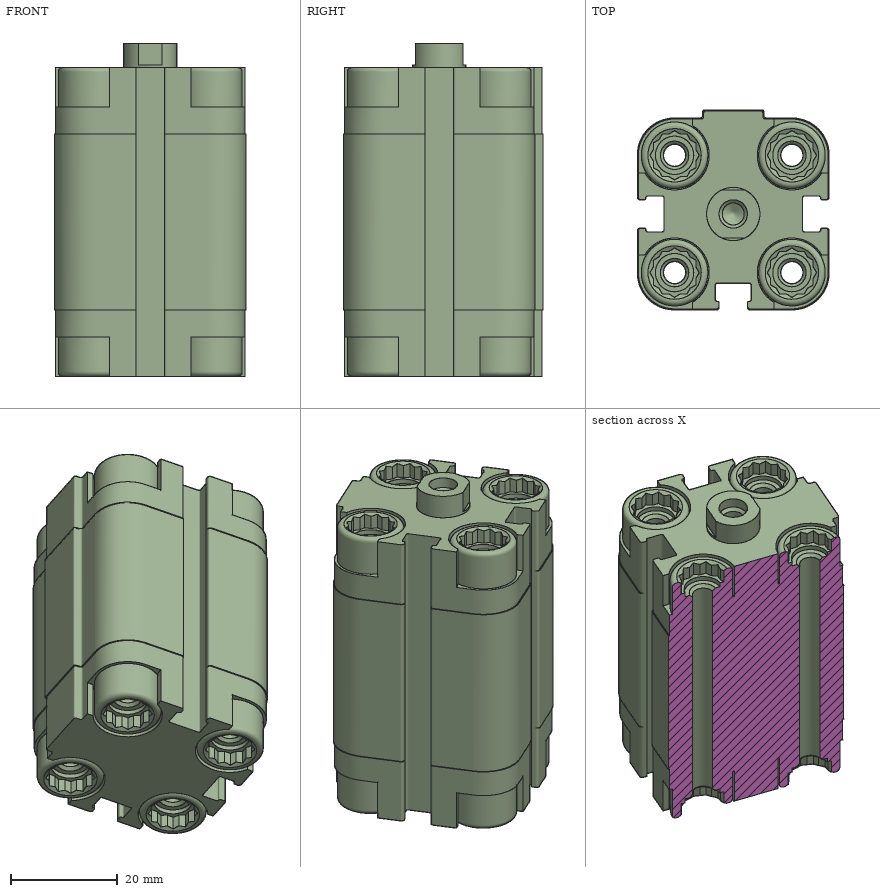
import cadquery as cq
import math

body_height = 58.0
body_width = 36.0
half_width = body_width / 2
cap_length = 12.5
cap_inset = 0.2
screw_offset = 11.0
corner_radius = half_width - screw_offset
overshoot = 0.6

ridge_top = 19.5
ridge_width = 11.5
ridge_top_fillet = 0.4
ridge_root_fillet = 0.5

slot_floor = 13.0
slot_ledge = 16.4
slot_width = 6.7
slot_opening = 5.3
lip_fillet = 0.5
slot_fillet = 0.3

recess_depth = 7.45
recess_diameter = 13.0
recess_wall = 7.7
head_diameter = 12.5
head_fillet = 0.9

screw_bore = 4.1
socket_rim = 10.0
socket_rim_slope = 30.0
socket_flats = 8.0
socket_depth = 3.05
counterbore_diameter = 7.2
counterbore_depth = 4.0
countersink_diameter = 5.3
countersink_depth = counterbore_depth + (countersink_diameter - screw_bore) / 2

rod_diameter = 10.0
rod_top = 62.5
rod_bottom = body_height - cap_length
rod_flats = 9.0
rod_collar = 0.45
rod_entry_diameter = 5.3
rod_entry_depth = 2.0
rod_bore_diameter = 4.1
rod_bore_depth = 8.75
drill_point_angle = 118.0


def t_slot(angle):
    """Full-height T-slot cutter, turned from the +X side by the angle."""
    chamber_length = slot_ledge - slot_floor
    mouth_length = half_width + overshoot - slot_floor
    chamber = cq.Workplane("XY").box(chamber_length, slot_width, body_height, centered=(False, True, False))
    mouth = cq.Workplane("XY").box(mouth_length, slot_opening, body_height, centered=(False, True, False))
    slot = chamber.union(mouth)
    inner_edges = cq.selectors.BoxSelector(
        (-overshoot, -slot_width, -overshoot),
        (chamber_length + overshoot, slot_width, body_height + overshoot),
    )
    slot = slot.edges("|Z").edges(inner_edges).fillet(slot_fillet)
    slot = slot.translate((slot_floor, 0, 0))
    return slot.rotate((0, 0, 0), (0, 0, 1), angle)


def upright_edges_near(x, y, height):
    """Selector for the vertical edges that pass close to a point of the outline."""
    reach = 0.05
    return cq.selectors.BoxSelector(
        (x - reach, y - reach, -overshoot),
        (x + reach, y + reach, height + overshoot),
    )


def housing_section(bottom, height, inset):
    """One stretch of the housing, with its outer faces set back by the inset."""
    face = half_width - inset
    ridge_half = ridge_width / 2 - inset
    ridge_face = ridge_top - inset
    section = cq.Workplane("XY").box(2 * face, 2 * face, height, centered=(True, True, False))
    section = section.edges("|Z").fillet(corner_radius - inset)
    ridge = cq.Workplane("XY").box(2 * ridge_half, ridge_face, height, centered=(True, False, False))
    section = section.union(ridge)
    for angle in (0, 180, 270):
        section = section.cut(t_slot(angle))

    for side in (-1, 1):
        for y, radius in ((face, ridge_root_fillet), (ridge_face, ridge_top_fillet)):
            section = section.edges(upright_edges_near(side * ridge_half, y, height)).fillet(radius)
        lip = side * slot_opening / 2
        for x, y in ((face, lip), (-face, lip), (lip, -face)):
            section = section.edges(upright_edges_near(x, y, height)).fillet(lip_fillet)
    return section.translate((0, 0, bottom))


def corner_recess(sign_x, sign_y):
    """Cutter for the recess around one screw head at the top end."""
    floor = body_height - recess_depth
    size = half_width + overshoot - recess_wall
    middle = recess_wall + size / 2
    round_part = cq.Workplane("XY").circle(recess_diameter / 2).extrude(recess_depth)
    round_part = round_part.translate((sign_x * screw_offset, sign_y * screw_offset, floor))
    corner_part = cq.Workplane("XY").box(size, size, recess_depth, centered=(True, True, False))
    corner_part = corner_part.translate((sign_x * middle, sign_y * middle, floor))
    return round_part.union(corner_part)


def socket():
    """Cutter for the stepped twelve-point socket, with its mouth at Z = 0."""
    hexagon_diameter = socket_flats / math.cos(math.radians(30))
    rim_depth = socket_rim / 2 * math.tan(math.radians(socket_rim_slope))
    rim = cq.Workplane("XZ").polyline([(0, 0), (socket_rim / 2, 0), (0, -rim_depth)]).close().revolve()
    cutter = rim
    for angle in (0, 30):
        hexagon = cq.Workplane("XY").polygon(6, hexagon_diameter).extrude(-socket_depth)
        cutter = cutter.union(hexagon.rotate((0, 0, 0), (0, 0, 1), angle))
    steps = (
        cq.Workplane("XZ")
        .moveTo(0, 0)
        .lineTo(counterbore_diameter / 2, 0)
        .lineTo(counterbore_diameter / 2, -counterbore_depth)
        .lineTo(countersink_diameter / 2, -counterbore_depth)
        .lineTo(screw_bore / 2, -countersink_depth)
        .lineTo(0, -countersink_depth)
        .close()
        .revolve()
    )
    return cutter.union(steps)


def screw_head():
    """Rounded screw head with its socket, standing on the recess floor at the top end."""
    head = cq.Workplane("XY").circle(head_diameter / 2).extrude(recess_depth)
    head = head.faces(">Z").edges().fillet(head_fillet)
    head = head.cut(socket().translate((0, 0, recess_depth)))
    return head.translate((0, 0, body_height - recess_depth))


def at_bottom_end(shape):
    """The same shape mirrored from the top end to the bottom end."""
    return shape.mirror("XY", (0, 0, body_height / 2))


def make_housing():
    """Housing with its caps, slots, ridge, screw heads and screw bores as one solid."""
    housing = housing_section(cap_length, body_height - 2 * cap_length, 0)
    for cap_bottom in (0, body_height - cap_length):
        housing = housing.union(housing_section(cap_bottom, cap_length, cap_inset))

    head = screw_head()
    for sign_x in (-1, 1):
        for sign_y in (-1, 1):
            recess = corner_recess(sign_x, sign_y)
            placed_head = head.translate((sign_x * screw_offset, sign_y * screw_offset, 0))
            housing = housing.cut(recess).cut(at_bottom_end(recess))
            housing = housing.union(placed_head).union(at_bottom_end(placed_head))

    bores = (
        cq.Workplane("XY")
        .rect(2 * screw_offset, 2 * screw_offset, forConstruction=True)
        .vertices()
        .circle(screw_bore / 2)
        .extrude(body_height)
    )
    rod_seat = cq.Workplane("XY").workplane(offset=rod_bottom).circle(rod_diameter / 2).extrude(cap_length)
    return housing.cut(bores).cut(rod_seat)


def make_rod():
    """Piston rod with wrench flats and a stepped blind hole, seated in the top cap."""
    rod_length = rod_top - rod_bottom
    rod = cq.Workplane("XY").workplane(offset=rod_bottom).circle(rod_diameter / 2).extrude(rod_length)
    flats_bottom = body_height + rod_collar
    for side in (-1, 1):
        flat = cq.Workplane("XY").box(
            rod_diameter, rod_diameter, rod_top - flats_bottom, centered=(True, True, False)
        )
        rod = rod.cut(flat.translate((0, side * (rod_flats + rod_diameter) / 2, flats_bottom)))

    countersink_bottom = rod_entry_depth + (rod_entry_diameter - rod_bore_diameter) / 2
    point_length = rod_bore_diameter / 2 / math.tan(math.radians(drill_point_angle / 2))
    bore = (
        cq.Workplane("XZ")
        .moveTo(0, 0)
        .lineTo(rod_entry_diameter / 2, 0)
        .lineTo(rod_entry_diameter / 2, -rod_entry_depth)
        .lineTo(rod_bore_diameter / 2, -countersink_bottom)
        .lineTo(rod_bore_diameter / 2, -rod_bore_depth)
        .lineTo(0, -rod_bore_depth - point_length)
        .close()
        .revolve()
    )
    return rod.cut(bore.translate((0, 0, rod_top)))


housing = make_housing()
rod = make_rod()
result = cq.Compound.makeCompound([housing.val(), rod.val()])